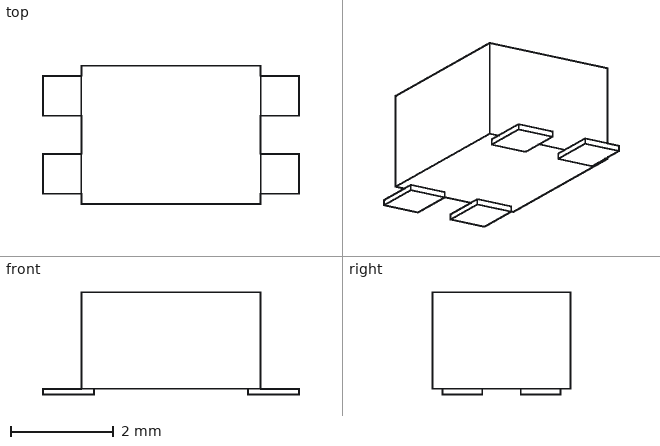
import cadquery as cq

overall_length = 5.0
overall_height = 2.0

housing_length = 3.5
housing_width = 2.7

lead_length = 1.0
lead_width = 0.78
lead_thickness = 0.11
lead_pitch = 1.525

housing_height = overall_height - lead_thickness
lead_center_x = (overall_length - lead_length) / 2
lead_center_y = lead_pitch / 2


def make_housing():
    """Plain block resting on the top faces of the leads."""
    return (
        cq.Workplane("XY")
        .workplane(offset=lead_thickness)
        .rect(housing_length, housing_width)
        .extrude(housing_height)
    )


def make_lead(x_side, y_side):
    """One flat lead, placed in the corner given by the signs of X and Y."""
    return (
        cq.Workplane("XY")
        .center(x_side * lead_center_x, y_side * lead_center_y)
        .rect(lead_length, lead_width)
        .extrude(lead_thickness)
    )


housing = make_housing()
leads = [make_lead(x_side, y_side) for x_side in (-1, 1) for y_side in (-1, 1)]

result = cq.Compound.makeCompound([housing.val(), *[lead.val() for lead in leads]])